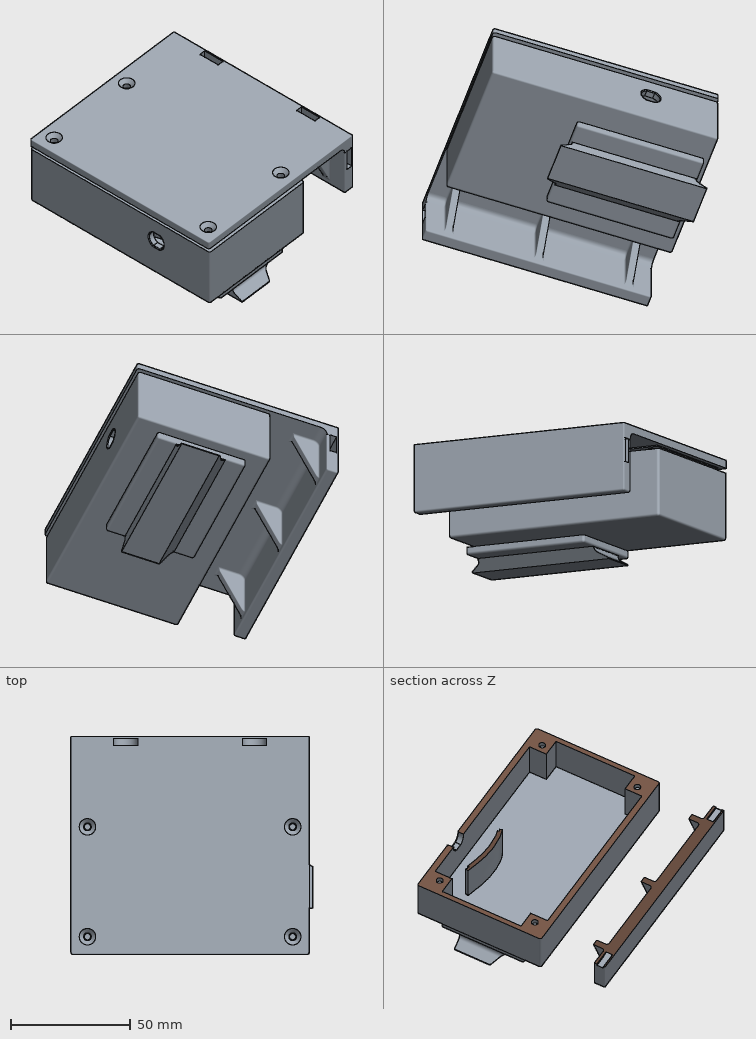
import cadquery as cq
import math


box_x = 100.0
box_y = 60.0
box_height = 28.8
box_side_wall = 2.4
box_front_wall = 2.9
box_floor = 2.4
box_fillet = 1.0
boss_size = 8.1
cavity_x = box_x - 2 * box_side_wall
cavity_y = box_y - 2 * box_front_wall

port_x = 20.1
port_z = 18.0
port_diameter = 8.2
port_height = 7.4
port_chamfer = 0.4

screw_x = 43.0
screw_y = 23.0
pilot_diameter = 2.6
pilot_depth = 12.2
clearance_diameter = 3.2
head_diameter = 6.9

lid_top = 34.5
lid_thickness = 3.5
lid_front = -30.5
lid_rear = 61.0
lid_edge_fillet = 0.4
lid_corner_fillet = 1.0
wall_thickness = 5.3
wall_drop = 29.2
wall_bottom_fillet = 0.8
inner_corner_radius = 3.0
lid_underside = lid_top - lid_thickness
wall_inside = lid_rear - wall_thickness
wall_bottom = lid_top - wall_drop
corner_y = wall_inside - inner_corner_radius
corner_z = lid_underside - inner_corner_radius

land_height = 0.5

gusset_pitch = 40.0
gusset_thickness = 3.0
gusset_run = 11.6
gusset_drop = 2 * gusset_run
gusset_edge_fillet = 0.4
gusset_root_fillet = 1.0
toe_y = wall_inside - gusset_run
toe_z = lid_underside - gusset_drop

magnet_diameter = 10.1
magnet_radius = magnet_diameter / 2
magnet_pocket_width = 2.9
magnet_pocket_cover = 0.9
magnet_x = 27.0
side_magnet_depth = 11.6

fin_stations = [(6.0, -15.5, 22.0), (16.3, -13.9, 0.0), (32.2, -16.7, -15.5)]
fin_thickness = 1.4
fin_floor_gap = 0.2
fin_bottom = box_floor + fin_floor_gap
panel_left = 7.0
panel_right = 30.2
panel_bottom = 6.7
panel_height = 0.7

foot_x = 19.1
foot_length = 56.2
foot_width = 40.0
foot_top = -2.4
foot_bottom = -10.5
foot_plate_thickness = 3.2
foot_fillet = 1.0
rail_half_tip = 32.4
rail_half_neck = 27.5
rail_tip_height = 0.4
rail_flare_angle = 30.0
rail_root_radius = 2.0
rail_root_rear = 10.9
rail_root_front = -11.5
rail_end_front = -11.1
rail_root = foot_top - foot_plate_thickness
rail_end_rear = rail_root_rear - (rail_root - foot_bottom)

edge_margin = 0.1


def block(x0, x1, y0, y1, z0, z1):
    """Axis-aligned block between two opposite corners."""
    return cq.Workplane("XY").box(x1 - x0, y1 - y0, z1 - z0, centered=False).translate((x0, y0, z0))


def screw_points(z):
    """The four screw positions at this height."""
    plane = cq.Workplane("XY", origin=(0, 0, z))
    return plane.rect(2 * screw_x, 2 * screw_y, forConstruction=True).vertices()



def port_section(grow):
    """Outline of the port on the box front, enlarged all round by the same amount."""
    radius = port_diameter / 2 + grow
    flat_z = port_height / 2 + grow
    flat_x = math.sqrt(radius**2 - flat_z**2)
    return (
        cq.Workplane("XZ", origin=(port_x, -box_y / 2, port_z))
        .moveTo(-flat_x, flat_z)
        .lineTo(flat_x, flat_z)
        .threePointArc((radius, 0), (flat_x, -flat_z))
        .lineTo(-flat_x, -flat_z)
        .threePointArc((-radius, 0), (-flat_x, flat_z))
        .close()
    )


def make_port():
    """Port through the front wall with a chamfered mouth."""
    bore = port_section(0).extrude(-box_front_wall)
    mouth = port_section(port_chamfer).extrude(-port_chamfer, taper=45)
    return bore.union(mouth)


def make_cavity():
    """Inside of the box, leaving a square boss in each corner."""
    floor = cq.Workplane("XY", origin=(0, 0, box_floor))
    depth = box_height - box_floor
    bosses = (
        floor.rect(cavity_x - boss_size, cavity_y - boss_size, forConstruction=True)
        .vertices()
        .rect(boss_size, boss_size)
        .extrude(depth)
    )
    return floor.rect(cavity_x, cavity_y).extrude(depth).cut(bosses)


def make_box():
    body = cq.Workplane("XY").box(box_x, box_y, box_height, centered=(True, True, False))
    body = body.edges("|Z").fillet(box_fillet)
    body = body.faces("<Z").edges().fillet(box_fillet)
    pilots = screw_points(box_height).circle(pilot_diameter / 2).extrude(-pilot_depth)
    return body.cut(make_cavity()).cut(pilots).cut(make_port())



def make_lid_shell():
    """Plate, rounded inner corner and rear wall, with the outer edges rounded."""
    half = box_x / 2
    bulge = inner_corner_radius * math.sqrt(0.5)
    plate = (
        cq.Workplane("YZ", origin=(-half, 0, 0))
        .moveTo(lid_front, lid_top)
        .lineTo(lid_rear, lid_top)
        .lineTo(lid_rear, corner_z)
        .lineTo(wall_inside, corner_z)
        .threePointArc((corner_y + bulge, corner_z + bulge), (corner_y, lid_underside))
        .lineTo(lid_front, lid_underside)
        .close()
        .extrude(box_x)
    )
    plate = plate.edges("|Z").edges("<Y").fillet(lid_corner_fillet)
    plate = plate.edges("|Z").edges(">Y").fillet(lid_edge_fillet)
    plate = plate.faces(">Z").edges().fillet(lid_edge_fillet)
    wall = block(-half, half, wall_inside, lid_rear, wall_bottom, corner_z)
    wall = wall.edges("|Z").fillet(lid_edge_fillet)
    wall = wall.faces("<Z").edges("not(<Y)").fillet(wall_bottom_fillet)
    return plate.union(wall)


def make_gusset(x):
    """Triangular web whose back is buried in the plate and the rear wall."""
    buried_y = (wall_inside + lid_rear) / 2
    buried_z = (lid_underside + lid_top) / 2
    outline = [
        (buried_y, buried_z),
        (toe_y, buried_z),
        (toe_y, lid_underside),
        (wall_inside, toe_z),
        (buried_y, toe_z),
    ]
    plane = cq.Workplane("YZ", origin=(x - gusset_thickness / 2, 0, 0))
    return plane.polyline(outline).close().extrude(gusset_thickness)


def gusset_edges(body, x, y_range, z_range):
    """Edges of the gusset at this X whose middles lie in these ranges."""
    reach = gusset_thickness / 2 + edge_margin
    low = (x - reach, y_range[0], z_range[0])
    high = (x + reach, y_range[1], z_range[1])
    return body.edges(cq.selectors.BoxSelector(low, high))


def round_gusset(body, x):
    """Round the roots of a gusset all the way round, then its two sloping edges."""
    at_plate = (lid_underside - edge_margin, lid_underside + edge_margin)
    at_wall = (wall_inside - edge_margin, wall_inside + edge_margin)
    in_corner_y = (corner_y, wall_inside - edge_margin)
    in_corner_z = (corner_z, lid_underside - edge_margin)
    roots = gusset_edges(body, x, (toe_y - edge_margin, corner_y), at_plate)
    roots = roots.add(gusset_edges(body, x, at_wall, (toe_z - edge_margin, corner_z)))
    roots = roots.add(gusset_edges(body, x, in_corner_y, in_corner_z))
    body = roots.fillet(gusset_root_fillet)

    slope_y = (toe_y + wall_inside) / 2
    slope_z = (toe_z + lid_underside) / 2
    window = gusset_root_fillet
    slope = gusset_edges(
        body, x, (slope_y - window, slope_y + window), (slope_z - window, slope_z + window)
    )
    return slope.fillet(gusset_edge_fillet)


def magnet_pocket(x, z, out_x, out_z):
    """Disc space centred at X and Z, plus the straight way in from the (out_x, out_z) side."""
    rear = lid_rear - magnet_pocket_cover
    disc = cq.Workplane("XZ", origin=(x, rear, z)).circle(magnet_radius).extrude(magnet_pocket_width)
    entry = cq.Workplane("XY").box(magnet_diameter, magnet_pocket_width, magnet_diameter)
    entry_x = x + out_x * magnet_radius
    entry_z = z + out_z * magnet_radius
    return disc.union(entry.translate((entry_x, rear - magnet_pocket_width / 2, entry_z)))


def make_magnet_pockets():
    """Two pockets open to the top and one open to each end of the rear wall."""
    top_z = lid_top - magnet_radius
    side_x = box_x / 2 - magnet_radius
    side_z = lid_top - side_magnet_depth
    pockets = cq.Workplane("XY")
    for side in (-1, 1):
        pockets = pockets.add(magnet_pocket(side * magnet_x, top_z, 0, 1))
        pockets = pockets.add(magnet_pocket(side * side_x, side_z, side, 0))
    return pockets.combine()


def fin_slab(front, rear, bottom):
    """Curved slab between two depths behind the front curve of the fin."""

    def curve(depth):
        points = []
        for x, y, degrees in fin_stations:
            angle = math.radians(degrees)
            points.append((x - depth * math.sin(angle), y + depth * math.cos(angle)))
        return points

    start_angle = math.radians(fin_stations[0][2])
    end_angle = math.radians(fin_stations[-1][2])
    start = (math.cos(start_angle), math.sin(start_angle))
    end = (math.cos(end_angle), math.sin(end_angle))
    rear_tangents = [(-end[0], -end[1]), (-start[0], -start[1])]
    rear_points = curve(rear)[::-1]
    return (
        cq.Workplane("XY", origin=(0, 0, bottom))
        .spline(curve(front), tangents=[start, end])
        .lineTo(*rear_points[0])
        .spline(rear_points[1:], tangents=rear_tangents, includeCurrent=True)
        .close()
        .extrude(lid_underside - bottom)
    )


def make_fin():
    """Backing slab with a raised panel on its concave front."""
    backing = fin_slab(0, fin_thickness, fin_bottom)
    window = block(panel_left, panel_right, lid_front, lid_rear, panel_bottom, lid_underside)
    panel = fin_slab(-panel_height, fin_thickness / 2, panel_bottom).intersect(window)
    return backing.union(panel)


def make_countersunk_holes():
    """Clearance holes through plate and land, with 45 degree countersinks."""
    head_radius = head_diameter / 2
    shank_radius = clearance_diameter / 2
    cone = cq.Solid.makeCone(
        head_radius, shank_radius, head_radius - shank_radius, dir=cq.Vector(0, 0, -1)
    )
    shanks = screw_points(lid_top).circle(shank_radius).extrude(-lid_thickness - land_height)
    heads = screw_points(lid_top).eachpoint(lambda place: cone.moved(place))
    return shanks.union(heads)


def make_lid():
    gusset_places = [i * gusset_pitch for i in (-1, 0, 1)]
    body = make_lid_shell()
    for x in gusset_places:
        body = body.union(make_gusset(x))
    for x in gusset_places:
        body = round_gusset(body, x)
    body = body.cut(make_magnet_pockets())
    underside = cq.Workplane("XY", origin=(0, 0, lid_underside))
    land = underside.rect(cavity_x, cavity_y).extrude(-land_height)
    body = body.union(land).union(make_fin())
    return body.cut(make_countersunk_holes())



def make_rail_section():
    """Dovetail section: rounded root, flare and thin vertical tip, mirrored about its middle."""
    angle = math.radians(rail_flare_angle)
    tip_z = foot_bottom + rail_tip_height
    axis_x = rail_half_neck + rail_root_radius
    flare_x = axis_x - rail_root_radius * math.sin(angle)
    flare_z = tip_z + (rail_half_tip - flare_x) * math.tan(angle)
    axis_z = flare_z + rail_root_radius * math.cos(angle)
    root_x = axis_x - math.sqrt(rail_root_radius**2 - (rail_root - axis_z) ** 2)
    half = (
        cq.Workplane("XZ", origin=(foot_x, foot_width / 2, 0))
        .moveTo(0, rail_root)
        .lineTo(root_x, rail_root)
        .threePointArc((rail_half_neck, axis_z), (flare_x, flare_z))
        .lineTo(rail_half_tip, tip_z)
        .lineTo(rail_half_tip, foot_bottom)
        .lineTo(0, foot_bottom)
        .close()
        .extrude(foot_width)
    )
    return half.union(half.mirror("YZ", (foot_x, 0, 0)))


def make_rail():
    """Dovetail cut to a steep rear slope and a slightly leaning front."""
    side_outline = [
        (rail_root_rear, rail_root),
        (rail_end_rear, foot_bottom),
        (rail_end_front, foot_bottom),
        (rail_root_front, rail_root),
    ]
    plane = cq.Workplane("YZ", origin=(foot_x - rail_half_tip, 0, 0))
    side = plane.polyline(side_outline).close().extrude(2 * rail_half_tip)
    return make_rail_section().intersect(side)


def make_foot():
    top = cq.Workplane("XY", origin=(foot_x, 0, foot_top))
    plate = top.rect(foot_length, foot_width).extrude(-foot_plate_thickness)
    plate = plate.edges("|Z").fillet(foot_fillet)
    plate = plate.faces("<Z").edges().fillet(foot_fillet)
    return plate.union(make_rail())


box = make_box()
lid = make_lid()
foot = make_foot()
result = cq.Compound.makeCompound([box.val(), lid.val(), foot.val()])